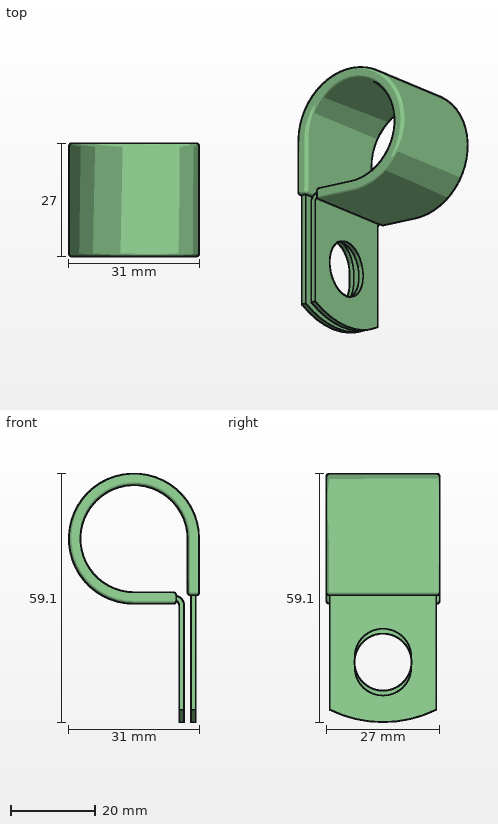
import cadquery as cq
import math


bore_radius = 12.7
cover_thickness = 0.79375
strap_thickness = 1.219
strap_width = 25.4
leg_gap = 1.56
bend_inner_radius = 1.17
near_straight_length = 9.27
leg_depth = 43.633
hole_diameter = 13.494
slot_length = 15.875
hole_to_tip = 14.2875
tip_radius = 28.575

strap_inner = bore_radius + cover_thickness
strap_outer = strap_inner + strap_thickness
cover_outer = strap_outer + cover_thickness
cover_width = strap_width + 2 * cover_thickness
bend_outer_radius = bend_inner_radius + strap_thickness
near_leg_outer = strap_inner - leg_gap
bend_x = near_leg_outer - bend_outer_radius
bend_z = -(strap_inner + bend_outer_radius)
cover_near_end = near_straight_length + cover_thickness
cover_far_end = -strap_inner
hole_z = hole_to_tip - leg_depth
diagonal = math.sqrt(0.5)


def extrude_centred(profile, width):
    """Extrude a profile by half the width to each side of its sketch plane."""
    return profile.extrude(width / 2, both=True)


def make_cover():
    """Rubber cover: three-quarter loop with two straight ends, every edge rounded."""
    profile = (
        cq.Workplane("XZ")
        .moveTo(cover_outer, cover_far_end)
        .lineTo(cover_outer, 0)
        .threePointArc((-cover_outer * diagonal, cover_outer * diagonal), (0, -cover_outer))
        .lineTo(cover_near_end, -cover_outer)
        .lineTo(cover_near_end, -bore_radius)
        .lineTo(0, -bore_radius)
        .threePointArc((-bore_radius * diagonal, bore_radius * diagonal), (bore_radius, 0))
        .lineTo(bore_radius, cover_far_end)
        .close()
    )
    block = extrude_centred(profile, cover_width)
    side_edges = block.faces("<Y or >Y").edges()
    ends_box = cq.selectors.BoxSelector(
        (near_straight_length, -cover_width, -cover_outer - cover_thickness),
        (cover_outer + cover_thickness, cover_width, -bore_radius + cover_thickness),
    )
    end_edges = block.edges("|Y").edges(ends_box)
    return side_edges.add(end_edges).fillet(cover_thickness)


def make_strap():
    """Metal strap: loop, a straight far leg, and a near leg bent down from the loop bottom."""
    outer_bend_mid = (bend_x + bend_outer_radius * diagonal, bend_z + bend_outer_radius * diagonal)
    inner_bend_mid = (bend_x + bend_inner_radius * diagonal, bend_z + bend_inner_radius * diagonal)
    profile = (
        cq.Workplane("XZ")
        .moveTo(strap_outer, -leg_depth)
        .lineTo(strap_outer, 0)
        .threePointArc((-strap_outer * diagonal, strap_outer * diagonal), (0, -strap_outer))
        .lineTo(bend_x, -strap_outer)
        .threePointArc(inner_bend_mid, (bend_x + bend_inner_radius, bend_z))
        .lineTo(bend_x + bend_inner_radius, -leg_depth)
        .lineTo(near_leg_outer, -leg_depth)
        .lineTo(near_leg_outer, bend_z)
        .threePointArc(outer_bend_mid, (bend_x, -strap_inner))
        .lineTo(0, -strap_inner)
        .threePointArc((-strap_inner * diagonal, strap_inner * diagonal), (strap_inner, 0))
        .lineTo(strap_inner, -leg_depth)
        .close()
    )
    bent_strip = extrude_centred(profile, strap_width)
    return bent_strip.intersect(make_strap_outline()).cut(make_bolt_holes())


def make_strap_outline():
    """Block along X whose lower end is the rounded tip shared by both legs."""
    half_width = strap_width / 2
    tip_rise = tip_radius - math.sqrt(tip_radius**2 - half_width**2)
    corner_z = tip_rise - leg_depth
    return extrude_centred(
        cq.Workplane("YZ")
        .moveTo(-half_width, cover_outer)
        .lineTo(-half_width, corner_z)
        .threePointArc((0, -leg_depth), (half_width, corner_z))
        .lineTo(half_width, cover_outer)
        .close(),
        2 * cover_outer,
    )


def make_bolt_holes():
    """Concentric cutters along X: a round hole for the near leg, a vertical slot for the far leg."""
    gap_middle = strap_inner - leg_gap / 2
    axis = cq.Workplane("YZ", origin=(gap_middle, 0, hole_z))
    near_hole = axis.circle(hole_diameter / 2).extrude(-cover_outer)
    far_slot = axis.slot2D(slot_length, hole_diameter, 90).extrude(cover_outer)
    return near_hole.union(far_slot)


result = make_cover().union(make_strap())